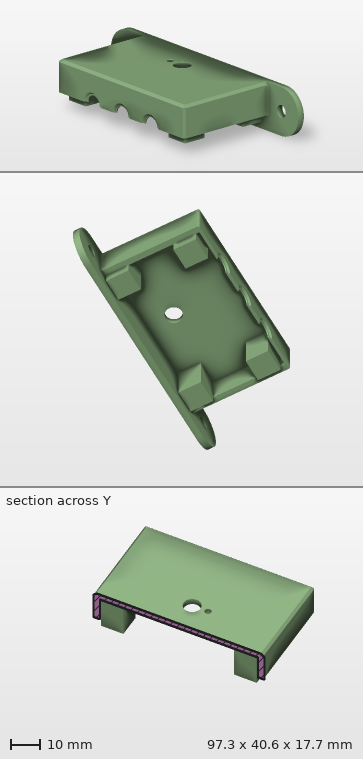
import cadquery as cq

flange_length = 97.3
flange_height = 17.7
flange_thickness = 2.5
flange_end_radius = flange_height / 2
screw_hole_diameter = 4.6
screw_hole_x = flange_length / 2 - flange_end_radius

total_depth = 40.6
box_width = 65.6
box_height = 12.0
box_edge_size = 1.0
root_fillet_radius = 1.0
box_top = flange_height / 2
box_bottom = box_top - box_height
box_front = -total_depth

lid_thickness = 2.5
side_wall = 2.3
front_wall = 1.2
cavity_width = box_width - 2 * side_wall
cavity_front = box_front + front_wall
cavity_back = -flange_thickness
cavity_depth = cavity_back - cavity_front
cavity_top = box_top - lid_thickness

post_size = 8.8
foot_height = 2.9
post_side_gap = 0.3
post_back_gap = 0.3
post_front_gap = 1.6
post_span_x = cavity_width - 2 * post_side_gap - post_size
post_back_y = cavity_back - post_back_gap - post_size / 2
post_front_y = cavity_front + post_front_gap + post_size / 2

cable_pitch = 15.0
cable_hole_radius = 3.1
recess_inner_radius = 3.7
recess_outer_radius = 4.3
recess_depth = 0.7

switch_hole_diameter = 6.3
locating_dimple_diameter = 2.3
locating_dimple_depth = 1.0
switch_y = -12.7
locating_dimple_x = -6.1
lid_hole_bevel = 0.2


def make_flange():
    return (
        cq.Workplane("XZ")
        .slot2D(flange_length, flange_height)
        .pushPoints([(-screw_hole_x, 0), (screw_hole_x, 0)])
        .circle(screw_hole_diameter / 2)
        .extrude(flange_thickness)
    )


def make_root_fillet(side):
    """Concave strip in the corner between a box side (-1 left, +1 right) and the flange."""
    wall_x = side * box_width / 2
    outer_x = wall_x + side * root_fillet_radius
    flange_y = -flange_thickness
    bend = root_fillet_radius * (1 - 0.5**0.5)
    return (
        cq.Workplane("XY", origin=(0, 0, box_bottom))
        .moveTo(wall_x, flange_y)
        .lineTo(outer_x, flange_y)
        .threePointArc((wall_x + side * bend, flange_y - bend), (wall_x, flange_y - root_fillet_radius))
        .close()
        .extrude(box_height)
    )


def make_side_bevel(side):
    """45 degree cutter along a top side edge, long enough to slope off the root fillet too."""
    top_x = side * (box_width / 2 - box_edge_size)
    reach = box_edge_size + root_fillet_radius
    return (
        cq.Workplane("XZ", origin=(0, -flange_thickness, box_top))
        .moveTo(top_x, 0)
        .lineTo(top_x + side * reach, 0)
        .lineTo(top_x + side * reach, -reach)
        .close()
        .extrude(total_depth)
    )


def make_box():
    box = (
        cq.Workplane("XY", origin=(0, 0, box_bottom))
        .rect(box_width, total_depth)
        .extrude(box_height)
        .translate((0, -total_depth / 2, 0))
        .edges("|Z and <Y")
        .fillet(box_edge_size)
    )
    front_bevel = (
        cq.Workplane("YZ", origin=(-box_width / 2, box_front, box_top))
        .lineTo(box_edge_size, 0)
        .lineTo(0, -box_edge_size)
        .close()
        .extrude(box_width)
    )
    box = box.cut(front_bevel)
    for side in (-1, 1):
        box = box.union(make_root_fillet(side)).cut(make_side_bevel(side))
    return box


def make_cavity():
    return cq.Workplane("XY").box(
        cavity_width, cavity_depth, cavity_top - box_bottom, centered=(True, False, False)
    ).translate((0, cavity_front, box_bottom))


def make_corner_posts():
    """Posts that hang from the lid and end in feet below the rim of the box."""
    corners = [(side * post_span_x / 2, y) for side in (-1, 1) for y in (post_back_y, post_front_y)]
    return (
        cq.Workplane("XY", origin=(0, 0, box_bottom - foot_height))
        .pushPoints(corners)
        .rect(post_size, post_size)
        .extrude(cavity_top - box_bottom + foot_height)
    )


def make_cable_opening(x):
    """Stepped round cutter, its axis along Y on the rim of the box."""
    return (
        cq.Workplane("XY")
        .lineTo(recess_outer_radius, 0)
        .lineTo(recess_inner_radius, recess_depth)
        .lineTo(cable_hole_radius, recess_depth)
        .lineTo(cable_hole_radius, front_wall)
        .lineTo(0, front_wall)
        .close()
        .revolve(360, (0, 0), (0, 1))
        .translate((x, box_front, box_bottom))
    )


def make_lid_hole(x, diameter, depth):
    """Round cutter from the top of the lid, with its upper edge bevelled."""
    radius = diameter / 2
    return (
        cq.Workplane("XZ")
        .lineTo(radius + lid_hole_bevel, 0)
        .lineTo(radius, -lid_hole_bevel)
        .lineTo(radius, -depth)
        .lineTo(0, -depth)
        .close()
        .revolve(360, (0, 0), (0, 1))
        .translate((x, switch_y, box_top))
    )


result = make_flange().union(make_box()).cut(make_cavity()).union(make_corner_posts())
for step in (-1, 0, 1):
    result = result.cut(make_cable_opening(step * cable_pitch))
result = result.cut(make_lid_hole(0, switch_hole_diameter, lid_thickness))
result = result.cut(make_lid_hole(locating_dimple_x, locating_dimple_diameter, locating_dimple_depth))